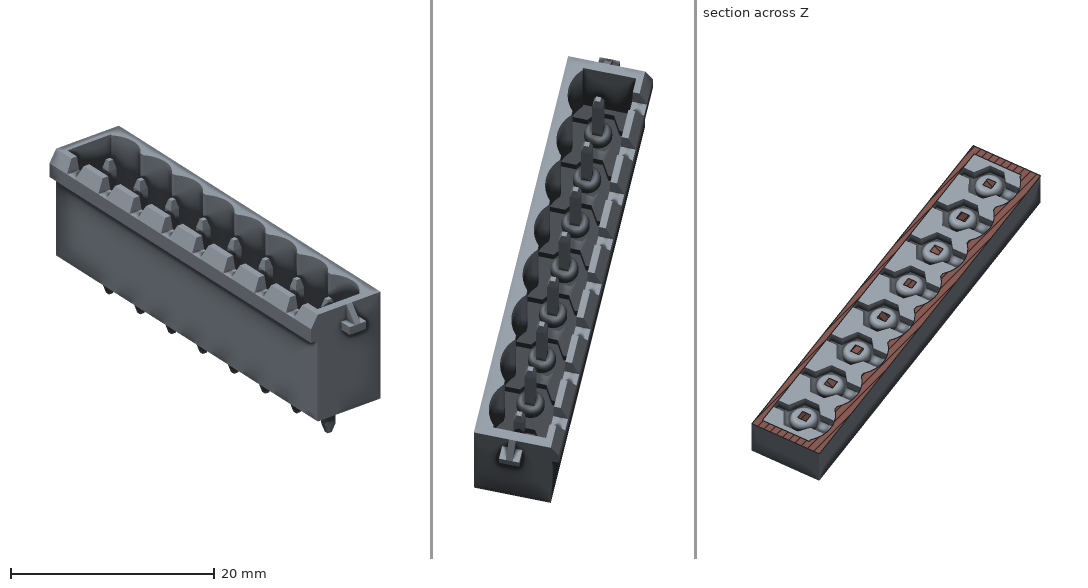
import cadquery as cq
import math


pin_count = 8
pin_row_length = 35.6
pin_pitch = pin_row_length / (pin_count - 1)
pin_positions = [(i - (pin_count - 1) / 2) * pin_pitch for i in range(pin_count)]

pin_width = 1.0
pin_tip_width = 0.5
pin_tip_length = 0.95
pin_length = 15.0
pin_tail = 4.0

overall_length = 45.45
overall_depth = 8.6
housing_length = 42.6
housing_height = 12.0
lip_overhang = 0.8
lip_height = 2.9
lip_chamfer_height = 1.35
back_y = 3.8
lip_front_y = back_y - overall_depth
front_y = lip_front_y + lip_overhang

end_wall = 0.95
front_wall = 0.7
back_wall = 1.73
bay_back_wall = 0.8
bay_radius = 3.35
floor_z = 4.0
cavity_length = housing_length - 2 * end_wall
cavity_front_y = front_y + front_wall
cavity_back_y = back_y - back_wall
bay_back_y = back_y - bay_back_wall
bay_center_y = bay_back_y - bay_radius
bay_half_width = math.sqrt(bay_radius**2 - (cavity_back_y - bay_center_y)**2)

recess_depth = 1.0
recess_half_width = 2.05
recess_slot_half_width = 1.0
recess_neck_half_width = 0.5
recess_slot_y = 1.3
recess_side_back_y = 0.5
recess_side_front_y = -1.15
recess_neck_y = -2.05
recess_z = floor_z - recess_depth

boss_diameter = 2.75
boss_height = 1.0
boss_rounding = 0.5

notch_top_width = 2.0
notch_bottom_width = 1.25
notch_depth = lip_chamfer_height

latch_reach = (overall_length - housing_length) / 2
latch_width = 2.05
latch_thickness = 0.85
latch_drop = 1.73
latch_rib_width = 0.7
latch_y = (back_y + front_y) / 2


def make_block():
    """Solid housing block, drawn as a side profile and run along X."""
    profile = (
        cq.Workplane("YZ", origin=(-housing_length / 2, 0, 0))
        .moveTo(back_y, 0)
        .lineTo(back_y, housing_height)
        .lineTo(front_y, housing_height)
        .lineTo(lip_front_y, housing_height - lip_chamfer_height)
        .lineTo(lip_front_y, housing_height - lip_height)
        .lineTo(front_y, housing_height - lip_height)
        .lineTo(front_y, 0)
        .close()
    )
    return profile.extrude(housing_length)


def make_cavity():
    """Straight-sided part of the cavity, open at the top."""
    return cq.Workplane("XY", origin=(0, cavity_front_y, floor_z)).box(
        cavity_length,
        cavity_back_y - cavity_front_y,
        housing_height - floor_z,
        centered=(True, False, False),
    )


def make_bay(x):
    """Round bay cut into the back wall behind a pin."""
    return (
        cq.Workplane("XY", origin=(x, 0, floor_z))
        .moveTo(-bay_half_width, cavity_back_y)
        .threePointArc((0, bay_back_y), (bay_half_width, cavity_back_y))
        .lineTo(bay_half_width, 0)
        .lineTo(-bay_half_width, 0)
        .close()
        .extrude(housing_height - floor_z)
    )


def make_recess(x):
    """Floor recess: a rear slot, a wide middle and a narrow front neck."""
    slot_end_y = bay_center_y + math.sqrt(bay_radius**2 - recess_slot_half_width**2)
    return (
        cq.Workplane("XY", origin=(x, 0, recess_z))
        .moveTo(-recess_slot_half_width, slot_end_y)
        .threePointArc((0, bay_back_y), (recess_slot_half_width, slot_end_y))
        .lineTo(recess_slot_half_width, recess_slot_y)
        .lineTo(recess_half_width, recess_side_back_y)
        .lineTo(recess_half_width, recess_side_front_y)
        .lineTo(recess_neck_half_width, recess_neck_y)
        .lineTo(recess_neck_half_width, cavity_front_y)
        .lineTo(-recess_neck_half_width, cavity_front_y)
        .lineTo(-recess_neck_half_width, recess_neck_y)
        .lineTo(-recess_half_width, recess_side_front_y)
        .lineTo(-recess_half_width, recess_side_back_y)
        .lineTo(-recess_slot_half_width, recess_slot_y)
        .close()
        .extrude(floor_z - recess_z)
    )


def make_boss(x):
    """Round boss with a rounded top rim, standing in the recess."""
    return (
        cq.Workplane("XY", origin=(x, 0, recess_z))
        .circle(boss_diameter / 2)
        .extrude(boss_height)
        .faces(">Z")
        .edges()
        .fillet(boss_rounding)
    )


def make_notch(x):
    """Tapered notch from the cavity out through the front of the lip."""
    return (
        cq.Workplane("XZ", origin=(x, cavity_front_y, housing_height))
        .moveTo(-notch_top_width / 2, 0)
        .lineTo(notch_top_width / 2, 0)
        .lineTo(notch_bottom_width / 2, -notch_depth)
        .lineTo(-notch_bottom_width / 2, -notch_depth)
        .close()
        .extrude(cavity_front_y - lip_front_y)
    )


def make_latch():
    """Latch bar on the +X end with a sloping rib above it."""
    end_x = housing_length / 2
    latch_top_z = housing_height - latch_drop
    bar = cq.Workplane("XY", origin=(end_x, latch_y, latch_top_z - latch_thickness)).box(
        latch_reach, latch_width, latch_thickness, centered=(False, True, False)
    )
    rib = (
        cq.Workplane("XZ", origin=(end_x, latch_y, latch_top_z))
        .moveTo(0, 0)
        .lineTo(latch_reach, 0)
        .lineTo(0, latch_drop)
        .close()
        .extrude(latch_rib_width / 2, both=True)
    )
    return bar.union(rib)


def make_pin(x):
    """Square pin with a blunt tapered tip at each end."""
    shaft_length = pin_length - 2 * pin_tip_length
    shaft_bottom_z = pin_tip_length - pin_tail
    taper_angle = math.degrees(math.atan2((pin_width - pin_tip_width) / 2, pin_tip_length))
    pin = (
        cq.Workplane("XY", origin=(x, 0, shaft_bottom_z))
        .rect(pin_width, pin_width)
        .extrude(shaft_length)
    )
    for end_face in (">Z", "<Z"):
        pin = (
            pin.faces(end_face)
            .workplane(centerOption="CenterOfMass")
            .rect(pin_width, pin_width)
            .extrude(pin_tip_length, taper=taper_angle)
        )
    return pin


def make_housing(pins):
    """Housing with its cavity, latches and a fitted hole for every pin."""
    body = make_block().cut(make_cavity())
    for x in pin_positions:
        body = body.cut(make_bay(x)).cut(make_recess(x)).cut(make_notch(x))
        body = body.union(make_boss(x))
    latch = make_latch()
    body = body.union(latch).union(latch.mirror("YZ"))
    for pin in pins:
        body = body.cut(pin)
    return body


pins = [make_pin(x) for x in pin_positions]
housing = make_housing(pins)

result = cq.Compound.makeCompound([housing.val(), *[pin.val() for pin in pins]])